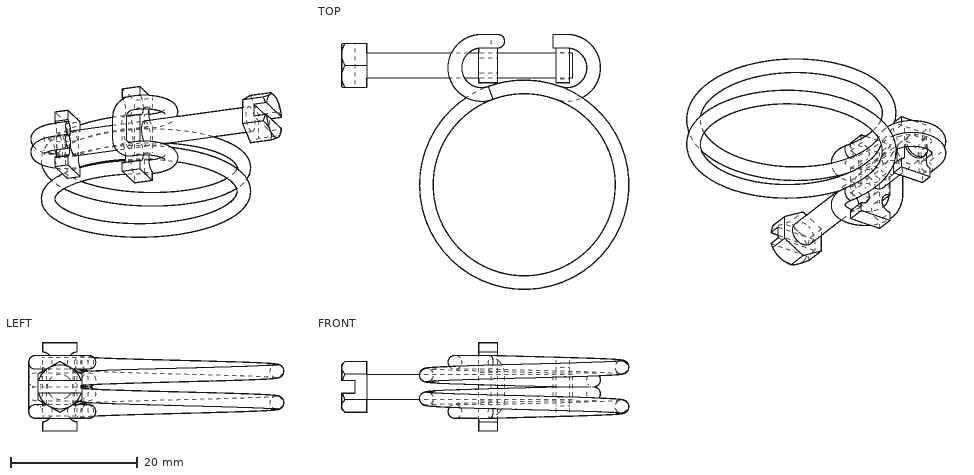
import cadquery as cq
import math

WIRE_RADIUS = 1.1
COIL_RADIUS = 15.5
COIL_START_Z = WIRE_RADIUS
COIL_END_Z = 3.9

HOOK_RADIUS = 4.22
HOOK_TOP_Y = 22.74
hook_center_y = HOOK_TOP_Y - HOOK_RADIUS
hook_center_x = math.sqrt((COIL_RADIUS + HOOK_RADIUS) ** 2 - hook_center_y**2)
hook_angle = math.degrees(math.atan2(hook_center_y, hook_center_x))
joint_x = COIL_RADIUS * math.cos(math.radians(hook_angle))
joint_y = COIL_RADIUS * math.sin(math.radians(hook_angle))
HOOK_END_X = 4.53
BRIDGE_X = -4.2
BRIDGE_BEND_RADIUS = 2.0

PLATE_HEIGHT = 5.5
plate_top_y = HOOK_TOP_Y - WIRE_RADIUS
axis_y = plate_top_y - PLATE_HEIGHT / 2
SLIDE_LENGTH = 14.0
SLIDE_THICKNESS = 3.0
SLIDE_CENTER_X = -5.72
SLIDE_NOTCH_RADIUS = 1.63
SLIDE_NOTCH_OFFSET = 0.1
NUT_LENGTH = 9.3
NUT_THICKNESS = 2.2
NUT_CENTER_X = 6.1
NUT_NOTCH_LENGTH = 6.1
NUT_NOTCH_DEPTH = 0.65
NUT_NOTCH_FILLET = 0.6

SHANK_DIAMETER = 4.0
SCREW_START_X = -28.93
SCREW_END_X = 7.65
HEAD_LENGTH = 4.0
HEAD_ACROSS_FLATS = 7.0
SLOT_WIDTH = 2.0
SLOT_DEPTH = 2.1
HEAD_CHAMFER_ANGLE = 45
head_across_corners = HEAD_ACROSS_FLATS / math.cos(math.radians(30))


def make_screw():
    along_x = cq.Workplane("YZ", origin=(SCREW_START_X, axis_y, 0))
    head = along_x.transformed(rotate=(0, 0, 90)).polygon(6, head_across_corners).extrude(HEAD_LENGTH)
    end_radius = HEAD_ACROSS_FLATS / 2
    cone_radius = end_radius + HEAD_LENGTH * math.tan(math.radians(HEAD_CHAMFER_ANGLE))
    cone = (
        along_x.circle(end_radius)
        .workplane(offset=HEAD_LENGTH)
        .circle(cone_radius)
        .loft(ruled=True)
    )
    head = head.intersect(cone)
    slot = along_x.rect(2 * HEAD_ACROSS_FLATS, SLOT_WIDTH).extrude(SLOT_DEPTH)
    shank = (
        along_x.workplane(offset=HEAD_LENGTH)
        .circle(SHANK_DIAMETER / 2)
        .extrude(SCREW_END_X - SCREW_START_X - HEAD_LENGTH)
    )
    return head.cut(slot).union(shank)


def make_plate(center_x, thickness, length):
    """Upright bar with a hole for the screw shank."""
    return (
        cq.Workplane("YZ", origin=(center_x - thickness / 2, axis_y, 0))
        .rect(PLATE_HEIGHT, length)
        .circle(SHANK_DIAMETER / 2)
        .extrude(thickness)
    )


def make_slide():
    """Bar with round notches beside the two legs of the bridge hook."""
    notches = (
        cq.Workplane("YZ", origin=(SLIDE_CENTER_X - SLIDE_THICKNESS / 2, axis_y, 0))
        .rect(PLATE_HEIGHT + 2 * SLIDE_NOTCH_OFFSET, 2 * COIL_END_Z, forConstruction=True)
        .vertices()
        .circle(SLIDE_NOTCH_RADIUS)
        .extrude(SLIDE_THICKNESS)
    )
    return make_plate(SLIDE_CENTER_X, SLIDE_THICKNESS, SLIDE_LENGTH).cut(notches)


def make_nut():
    """Bar with a shallow rounded notch on each long edge, facing the two coil ends."""
    plate = make_plate(NUT_CENTER_X, NUT_THICKNESS, NUT_LENGTH)
    for side in (1, -1):
        notch = (
            cq.Workplane("XY", origin=(NUT_CENTER_X, axis_y + side * PLATE_HEIGHT / 2, 0))
            .center(0, side * NUT_NOTCH_DEPTH)
            .box(NUT_THICKNESS, 4 * NUT_NOTCH_DEPTH, NUT_NOTCH_LENGTH)
            .edges("|X")
            .fillet(NUT_NOTCH_FILLET)
        )
        plate = plate.cut(notch)
    return plate


def radial_profile(angle, z):
    """Wire section in the vertical plane through the coil axis at the given angle."""
    turn = math.radians(angle)
    plane = cq.Plane(
        origin=(COIL_RADIUS * math.cos(turn), COIL_RADIUS * math.sin(turn), z),
        xDir=(math.cos(turn), math.sin(turn), 0),
        normal=(-math.sin(turn), math.cos(turn), 0),
    )
    return cq.Workplane(plane).circle(WIRE_RADIUS)


def make_coil():
    """Coil above Z = 0: a little over one turn, ending in an open hook on the +X side."""
    turns = 1 + (180 - 2 * hook_angle) / 360
    rise = COIL_END_Z - COIL_START_Z
    helix = (
        cq.Wire.makeHelix(rise / turns, rise, COIL_RADIUS)
        .rotate(cq.Vector(0, 0, 0), cq.Vector(0, 0, 1), hook_angle)
        .translate(cq.Vector(0, 0, COIL_START_Z))
    )
    loop = radial_profile(hook_angle, COIL_START_Z).sweep(cq.Workplane(helix), isFrenet=True)
    hook_path = (
        cq.Workplane("XY", origin=(0, 0, COIL_START_Z))
        .moveTo(joint_x, joint_y)
        .threePointArc((hook_center_x + HOOK_RADIUS, hook_center_y), (hook_center_x, HOOK_TOP_Y))
        .lineTo(HOOK_END_X, HOOK_TOP_Y)
    )
    hook = radial_profile(hook_angle, COIL_START_Z).sweep(hook_path)
    return loop.union(hook)


def make_bridge_hook():
    """Two hook legs on the -X side, joined by an upright bridge."""
    z = COIL_END_Z
    bend_x = BRIDGE_X - BRIDGE_BEND_RADIUS
    straight_z = z - BRIDGE_BEND_RADIUS
    diagonal = BRIDGE_BEND_RADIUS * math.sqrt(0.5)

    def leg_arc(height, reverse):
        points = [
            cq.Vector(-joint_x, joint_y, height),
            cq.Vector(-hook_center_x - HOOK_RADIUS, hook_center_y, height),
            cq.Vector(-hook_center_x, HOOK_TOP_Y, height),
        ]
        if reverse:
            points.reverse()
        return cq.Edge.makeThreePointArc(*points)

    def point(x, height):
        return cq.Vector(x, HOOK_TOP_Y, height)

    edges = [
        leg_arc(z, False),
        cq.Edge.makeLine(point(-hook_center_x, z), point(bend_x, z)),
        cq.Edge.makeThreePointArc(
            point(bend_x, z), point(bend_x + diagonal, straight_z + diagonal), point(BRIDGE_X, straight_z)
        ),
        cq.Edge.makeLine(point(BRIDGE_X, straight_z), point(BRIDGE_X, -straight_z)),
        cq.Edge.makeThreePointArc(
            point(BRIDGE_X, -straight_z), point(bend_x + diagonal, -straight_z - diagonal), point(bend_x, -z)
        ),
        cq.Edge.makeLine(point(bend_x, -z), point(-hook_center_x, -z)),
        leg_arc(-z, True),
    ]
    path = cq.Workplane(cq.Wire.assembleEdges(edges))
    return radial_profile(180 - hook_angle, z).sweep(path)


screw = make_screw()
slide = make_slide()
nut = make_nut()
bridge_hook = make_bridge_hook()
upper_coil = make_coil()
coils = [upper_coil, upper_coil.mirror("XY")]

result = cq.Compound.makeCompound(
    [screw.val(), slide.val(), nut.val(), bridge_hook.val(), *[coil.val() for coil in coils]]
)